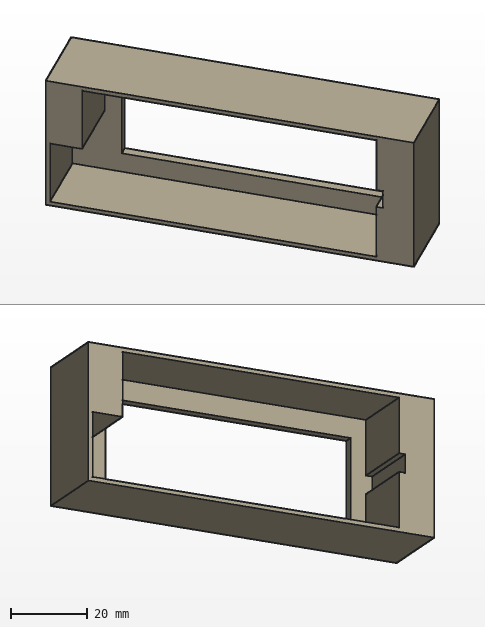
import cadquery as cq

length = 101.0
depth = 22.3
height = 38.5

thin_wall = 1.2
upper_left_wall = 10.0
right_wall = 10.3
back_wall = 2.7
cavity_depth = depth - back_wall

slot_width = 5.2
slot_depth = 1.8

window_length = 71.5
window_height = 24.6

left_side = -length / 2
cavity_right = length / 2 - right_wall
cavity_top = height / 2 - thin_wall


def front_cut(x_min, x_max, z_min, z_max, cut_depth):
    """Box cut into the open front face, running towards +Y."""
    return cq.Workplane("XY").box(
        x_max - x_min, cut_depth, z_max - z_min, centered=False
    ).translate((x_min, 0, z_min))


block = cq.Workplane("XY").box(length, depth, height, centered=(True, False, True))

upper_cavity = front_cut(left_side + upper_left_wall, cavity_right, 0, cavity_top, cavity_depth)
lower_cavity = front_cut(left_side + thin_wall, cavity_right, -cavity_top, 0, cavity_depth)

slot = front_cut(
    cavity_right, cavity_right + slot_depth, -slot_width / 2, slot_width / 2, cavity_depth
)

window = front_cut(
    -window_length / 2, window_length / 2, -window_height / 2, window_height / 2, depth
)

result = block.cut(upper_cavity).cut(lower_cavity).cut(slot).cut(window)